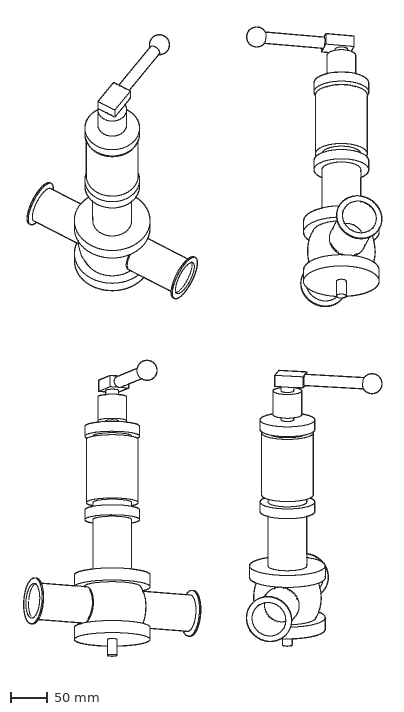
import cadquery as cq
import math


body_half_height = 28.5
body_end_radius = 39.5
body_waist_radius = 47.0
flange_diameter = 105.0
flange_thickness = 17.0

pin_diameter = 13.8
pin_bottom_z = -67.9

pipe_root_x = 30.0
pipe_half_length = 120.0
pipe_diameter = 50.8
bore_diameter = 47.8
ferrule_diameter = 64.0
ferrule_rim_thickness = 2.2
ferrule_back_angle = 20.0

column_diameter = 54.0
collar_diameter = 76.0
collar_thickness = 14.0
lower_collar_z = 123.0
sleeve_diameter = 72.0
sleeve_z = 147.0
sleeve_length = 89.0
upper_collar_z = 240.5
spindle_diameter = 18.0
hub_diameter = 40.0
hub_z = 262.0
hub_length = 34.0

block_width = 28.0
block_height = 16.0
block_front_y = -15.0
block_back_y = 25.0
block_z = 305.0
rod_diameter = 16.0
ball_diameter = 28.0
ball_y = 119.9


def disc(diameter, bottom_z, height):
    """Upright cylinder centred on the stem axis."""
    return cq.Workplane("XY", origin=(0, 0, bottom_z)).circle(diameter / 2).extrude(height)


def make_body():
    """Barrel-shaped body between two equal flanges."""
    barrel = (
        cq.Workplane("XZ")
        .moveTo(0, -body_half_height)
        .lineTo(body_end_radius, -body_half_height)
        .threePointArc((body_waist_radius, 0), (body_end_radius, body_half_height))
        .lineTo(0, body_half_height)
        .close()
        .revolve(360, (0, 0, 0), (0, 1, 0))
    )
    upper_flange = disc(flange_diameter, body_half_height, flange_thickness)
    lower_flange = disc(flange_diameter, -body_half_height, -flange_thickness)
    pin_top_z = -body_half_height - flange_thickness
    pin = disc(pin_diameter, pin_bottom_z, pin_top_z - pin_bottom_z)
    return barrel.union(upper_flange).union(lower_flange).union(pin)


def make_pipe():
    """Open pipe along +X, ending in a clamp ferrule with a tapered back."""
    pipe_radius = pipe_diameter / 2
    bore_radius = bore_diameter / 2
    ferrule_radius = ferrule_diameter / 2
    rim_back_x = pipe_half_length - ferrule_rim_thickness
    taper_length = (ferrule_radius - pipe_radius) * math.tan(math.radians(ferrule_back_angle))
    return (
        cq.Workplane("XY")
        .polyline([
            (pipe_root_x, bore_radius),
            (pipe_half_length, bore_radius),
            (pipe_half_length, ferrule_radius),
            (rim_back_x, ferrule_radius),
            (rim_back_x - taper_length, pipe_radius),
            (pipe_root_x, pipe_radius),
        ])
        .close()
        .revolve(360, (0, 0, 0), (1, 0, 0))
    )


def make_column():
    """Column, sleeve, two collars, spindle and hub stacked on the upper flange."""
    column_z = body_half_height + flange_thickness
    spindle_z = upper_collar_z + collar_thickness
    column = disc(column_diameter, column_z, upper_collar_z - column_z)
    for collar_z in (lower_collar_z, upper_collar_z):
        column = column.union(disc(collar_diameter, collar_z, collar_thickness))
    column = column.union(disc(sleeve_diameter, sleeve_z, sleeve_length))
    column = column.union(disc(spindle_diameter, spindle_z, block_z - spindle_z))
    return column.union(disc(hub_diameter, hub_z, hub_length))


def make_handle():
    """Block on the spindle, with a round rod along +Y carrying a ball."""
    block_length = block_back_y - block_front_y
    block = cq.Workplane("XY").box(block_width, block_length, block_height, centered=(True, False, False))
    block = block.translate((0, block_front_y, block_z))
    rod_z = block_z + block_height / 2
    rod = (
        cq.Workplane("XZ", origin=(0, block_back_y, rod_z))
        .circle(rod_diameter / 2)
        .extrude(block_back_y - ball_y)
    )
    ball = cq.Workplane("XY").sphere(ball_diameter / 2).translate((0, ball_y, rod_z))
    return block.union(rod).union(ball)


pipe = make_pipe()
result = (
    make_body()
    .union(pipe)
    .union(pipe.mirror("YZ"))
    .union(make_column())
    .union(make_handle())
)